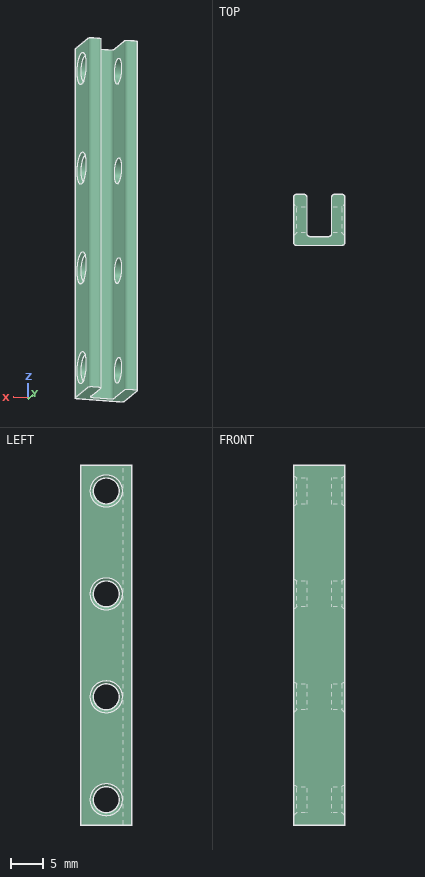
import cadquery as cq

width = 8.0
depth = 8.0
length = 56.0
wall_thickness = 2.1
floor_thickness = 1.4
edge_radius = 0.5

hole_diameter = 4.0
countersink_depth = 0.5
hole_count = 4
hole_pitch = 16.0

slot_width = width - 2 * wall_thickness
slot_depth = depth - floor_thickness
first_hole_z = -(hole_count - 1) * hole_pitch / 2


def make_channel():
    """U-shaped channel with every lengthwise edge rounded, centred on the origin."""
    block = cq.Workplane("XY").box(width, depth, length)
    slot_centre_y = (depth - slot_depth) / 2
    slot = cq.Workplane("XY").box(slot_width, slot_depth, length).translate((0, slot_centre_y, 0))
    return block.cut(slot).edges("|Z").fillet(edge_radius)


def make_cross_hole(z):
    """Cutter along X: a bore flaring at 45 degrees to meet both outer faces."""
    bore_radius = hole_diameter / 2
    mouth_radius = bore_radius + countersink_depth
    face_x = width / 2
    bore_end_x = face_x - countersink_depth
    half_section = (
        cq.Workplane("XY")
        .moveTo(-face_x, 0)
        .lineTo(-face_x, mouth_radius)
        .lineTo(-bore_end_x, bore_radius)
        .lineTo(bore_end_x, bore_radius)
        .lineTo(face_x, mouth_radius)
        .lineTo(face_x, 0)
        .close()
    )
    return half_section.revolve(360, (0, 0, 0), (1, 0, 0)).translate((0, 0, z))


result = make_channel()
for index in range(hole_count):
    result = result.cut(make_cross_hole(first_hole_z + index * hole_pitch))